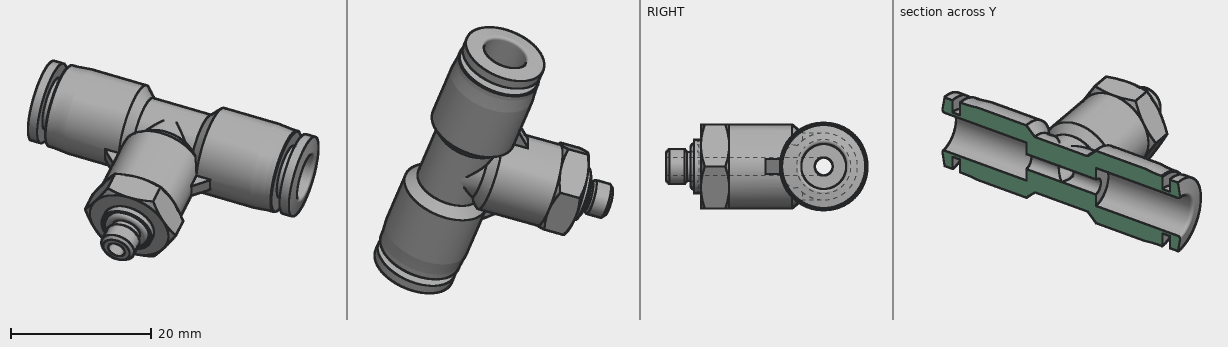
import cadquery as cq
import math

RUN_HALF_LENGTH = 20.3
RUN_RADIUS = 6.25
WAIST_RADIUS = 4.8
WAIST_HALF_LENGTH = 4.45
SHOULDER_END = WAIST_HALF_LENGTH + RUN_RADIUS - WAIST_RADIUS
TAPER_START = 14.25
RIM_START = 16.32
RIM_END = 17.3
RIM_RADIUS = 6.05
RIM_CHAMFER = 0.12

SLEEVE_NECK_RADIUS = 3.85
FLANGE_RADIUS = 5.93
FLANGE_START = 18.5
FLANGE_EDGE = 19.95
SOCKET_RADIUS = 3.2
SOCKET_FLOOR = SHOULDER_END
LIP_ROUNDING = 0.5
MOUTH_RADIUS = SOCKET_RADIUS + LIP_ROUNDING
BORE_RADIUS = 1.25

HEX_ACROSS_FLATS = 12.0
BRANCH_RADIUS = HEX_ACROSS_FLATS / 2
BRANCH_SHOULDER_START = 3.05
BRANCH_SHOULDER_END = 4.5
HEX_START = 13.48
HEX_END = 17.5
HEX_CHAMFER_ANGLE = 30.0
COLLAR_END = 18.5
COLLAR_RADIUS = 3.8
BRANCH_LENGTH = 22.5
THREAD_RADIUS = 2.5
THREAD_CHAMFER = 0.5
THREAD_ROOT_RADIUS = 2.07
RELIEF_END = 19.5
THREAD_START = 19.85

RING_SECTION_RADIUS = 0.6
RING_PROTRUSION = 0.5
RING_CENTRE_RADIUS = THREAD_ROOT_RADIUS + RING_SECTION_RADIUS
RING_CENTRE = COLLAR_END + RING_PROTRUSION - RING_SECTION_RADIUS
GROOVE_RADIUS = 3.55
GROOVE_FLOOR = RING_CENTRE - RING_SECTION_RADIUS

RIB_WIDTH = 2.07
RIB_LEG = 2.05


def turned_on_x(points):
    """Revolve (x, radius) points about the X axis."""
    return cq.Workplane("XY").polyline(points).close().revolve(360, (0, 0, 0), (1, 0, 0))


def turned_on_y(points):
    """Revolve (distance along -Y, radius) points about the Y axis."""
    outline = [(radius, -distance) for distance, radius in points]
    return cq.Workplane("XY").polyline(outline).close().revolve(360, (0, 0, 0), (0, 1, 0))


def branch_cylinder(start, end, radius):
    """Plain cylinder on the branch axis."""
    return turned_on_y([(start, 0), (start, radius), (end, radius), (end, 0)])


def run_half():
    """Half of the run with its sleeve, on the +X side."""
    return turned_on_x([
        (0, 0),
        (0, WAIST_RADIUS),
        (WAIST_HALF_LENGTH, WAIST_RADIUS),
        (SHOULDER_END, RUN_RADIUS),
        (TAPER_START, RUN_RADIUS),
        (RIM_START, RIM_RADIUS),
        (RIM_END - RIM_CHAMFER, RIM_RADIUS),
        (RIM_END, RIM_RADIUS - RIM_CHAMFER),
        (RIM_END, SLEEVE_NECK_RADIUS),
        (FLANGE_START, SLEEVE_NECK_RADIUS),
        (FLANGE_START, FLANGE_RADIUS),
        (FLANGE_EDGE, FLANGE_RADIUS),
        (RUN_HALF_LENGTH, MOUTH_RADIUS),
        (RUN_HALF_LENGTH, 0),
    ])


def run_half_bore():
    """Through bore and tube socket with a rounded lip, on the +X side."""
    return (
        cq.Workplane("XY")
        .moveTo(0, 0)
        .lineTo(0, BORE_RADIUS)
        .lineTo(SOCKET_FLOOR, BORE_RADIUS)
        .lineTo(SOCKET_FLOOR, SOCKET_RADIUS)
        .lineTo(RUN_HALF_LENGTH - LIP_ROUNDING, SOCKET_RADIUS)
        .tangentArcPoint((RUN_HALF_LENGTH, MOUTH_RADIUS), relative=False)
        .lineTo(RUN_HALF_LENGTH, 0)
        .close()
        .revolve(360, (0, 0, 0), (1, 0, 0))
    )


def both_sides(half):
    """Join a +X half to its mirror image."""
    return half.union(half.mirror("YZ"))


def branch_barrel():
    """Shouldered cylinder between the run and the hexagon."""
    return turned_on_y([
        (0, 0),
        (0, WAIST_RADIUS),
        (BRANCH_SHOULDER_START, WAIST_RADIUS),
        (BRANCH_SHOULDER_END, BRANCH_RADIUS),
        (HEX_START, BRANCH_RADIUS),
        (HEX_START, 0),
    ])


def hexagon():
    """Hexagon with corners on X, its corners turned off at both ends."""
    corner_radius = BRANCH_RADIUS / math.cos(math.pi / 6)
    chamfer = (corner_radius - BRANCH_RADIUS) * math.tan(math.radians(HEX_CHAMFER_ANGLE))
    prism = (
        cq.Workplane("XZ", origin=(0, -HEX_START, 0))
        .polygon(6, 2 * corner_radius)
        .extrude(HEX_END - HEX_START)
    )
    envelope = turned_on_y([
        (HEX_START, 0),
        (HEX_START, BRANCH_RADIUS),
        (HEX_START + chamfer, corner_radius),
        (HEX_END - chamfer, corner_radius),
        (HEX_END, BRANCH_RADIUS),
        (HEX_END, 0),
    ])
    return prism.intersect(envelope)


def threaded_stud():
    """Stud with a relief neck and a plain thread envelope."""
    return turned_on_y([
        (HEX_END, 0),
        (HEX_END, THREAD_ROOT_RADIUS),
        (RELIEF_END, THREAD_ROOT_RADIUS),
        (THREAD_START, THREAD_RADIUS),
        (BRANCH_LENGTH - THREAD_CHAMFER, THREAD_RADIUS),
        (BRANCH_LENGTH, THREAD_RADIUS - THREAD_CHAMFER),
        (BRANCH_LENGTH, 0),
    ])


def ring_collar():
    """Collar whose open groove around the stud seats the O-ring."""
    collar = branch_cylinder(HEX_END, COLLAR_END, COLLAR_RADIUS)
    return collar.cut(branch_cylinder(GROOVE_FLOOR, COLLAR_END, GROOVE_RADIUS))


def ribs():
    """Both corner ribs as one plate that passes through run and branch."""
    reach = BRANCH_RADIUS + RIB_LEG
    depth = RUN_RADIUS + RIB_LEG
    return (
        cq.Workplane("XY")
        .polyline([
            (-reach, 0),
            (-reach, -RUN_RADIUS),
            (-BRANCH_RADIUS, -depth),
            (BRANCH_RADIUS, -depth),
            (reach, -RUN_RADIUS),
            (reach, 0),
        ])
        .close()
        .extrude(RIB_WIDTH / 2, both=True)
    )


def make_fitting():
    fitting = both_sides(run_half())
    for feature in (branch_barrel(), ribs(), hexagon(), ring_collar(), threaded_stud()):
        fitting = fitting.union(feature)
    fitting = fitting.cut(both_sides(run_half_bore()))
    return fitting.cut(branch_cylinder(0, BRANCH_LENGTH, BORE_RADIUS))


def make_o_ring():
    return (
        cq.Workplane("XY")
        .center(RING_CENTRE_RADIUS, -RING_CENTRE)
        .circle(RING_SECTION_RADIUS)
        .revolve(360, (-RING_CENTRE_RADIUS, 0, 0), (-RING_CENTRE_RADIUS, 1, 0))
    )


fitting = make_fitting()
o_ring = make_o_ring()

result = cq.Compound.makeCompound([fitting.solids().val(), o_ring.solids().val()])